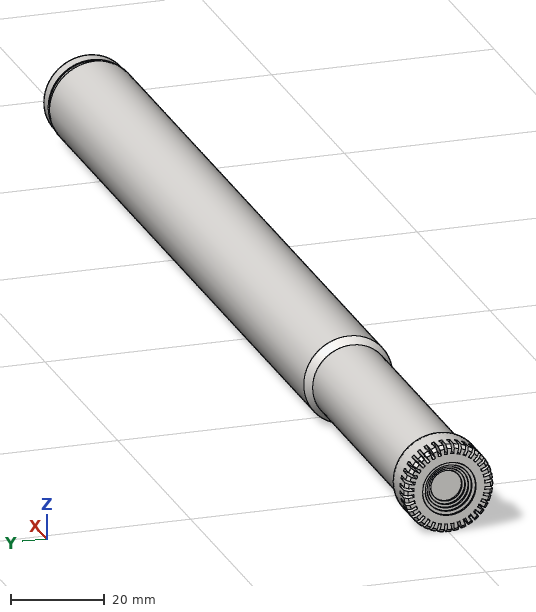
import cadquery as cq

total_length = 250.0
body_radius = 10.0

nut_length = 10.0
nut_front_chamfer = 0.8
nut_rear_chamfer_length = 2.0
nut_rear_radius = 8.8
nut_bore_radius = 6.0

notch_count = 36
notch_width = 0.62
front_notch_length = 3.5
front_notch_floor_radius = 8.0
rear_notch_length = nut_rear_chamfer_length
rear_notch_floor_radius = 9.0

neck_radius = 8.8
shoulder_start = 67.2
shoulder_end = 69.5
tail_groove_start = 244.2
tail_groove_end = 246.0
tail_groove_radius = 9.5
tail_radius = 9.8
tail_chamfer = 1.0

nose_setback = 0.5
recess_mouth_radius = 5.2
recess_floor_radius = 3.5
recess_step_count = 4
recess_step_depth = 0.5


def revolve_about_x(points):
    """Revolve a closed (x, radius) outline about the X axis."""
    return cq.Workplane("XY").polyline(points).close().revolve(360, (0, 0, 0), (1, 0, 0))


def notch_ring(start, length, floor_radius):
    """Radial cutters spaced evenly around X, reaching out from floor_radius."""
    clearance = 1.2
    height = body_radius + clearance - floor_radius
    cutter = (
        cq.Workplane("XY")
        .box(length, notch_width, height, centered=(False, True, False))
        .translate((start, 0, floor_radius))
    )
    cutters = []
    for index in range(notch_count):
        angle = (index + 0.5) * 360 / notch_count
        cutters.append(cutter.rotate((0, 0, 0), (1, 0, 0), angle).val())
    return cq.Compound.makeCompound(cutters)


def make_nut():
    rear_chamfer_start = nut_length - nut_rear_chamfer_length
    blank = revolve_about_x([
        (0, nut_bore_radius),
        (0, body_radius - nut_front_chamfer),
        (nut_front_chamfer, body_radius),
        (rear_chamfer_start, body_radius),
        (nut_length, nut_rear_radius),
        (nut_length, nut_bore_radius),
    ])
    front_notches = notch_ring(0, front_notch_length, front_notch_floor_radius)
    rear_notches = notch_ring(rear_chamfer_start, rear_notch_length, rear_notch_floor_radius)
    return blank.cut(cq.Workplane(front_notches)).cut(cq.Workplane(rear_notches)).solids()


def stepped_recess_points():
    """Outline of the nose recess, from its floor on the axis out to its mouth."""
    step_width = (recess_mouth_radius - recess_floor_radius) / (recess_step_count - 1)
    floor = nose_setback + recess_step_count * recess_step_depth
    points = [(floor, 0)]
    for step in range(recess_step_count):
        radius = recess_floor_radius + step * step_width
        depth = floor - step * recess_step_depth
        points += [(depth, radius), (depth - recess_step_depth, radius)]
    return points


def make_shank():
    outside = [
        (nose_setback, nut_bore_radius),
        (nut_length, nut_bore_radius),
        (nut_length, neck_radius),
        (shoulder_start, neck_radius),
        (shoulder_end, body_radius),
        (tail_groove_start, body_radius),
        (tail_groove_start, tail_groove_radius),
        (tail_groove_end, tail_groove_radius),
        (tail_groove_end, tail_radius),
        (total_length - tail_chamfer, tail_radius),
        (total_length, tail_radius - tail_chamfer),
        (total_length, 0),
    ]
    return revolve_about_x(stepped_recess_points() + outside)


nut = make_nut()
shank = make_shank()

result = cq.Compound.makeCompound([nut.val(), shank.val()])